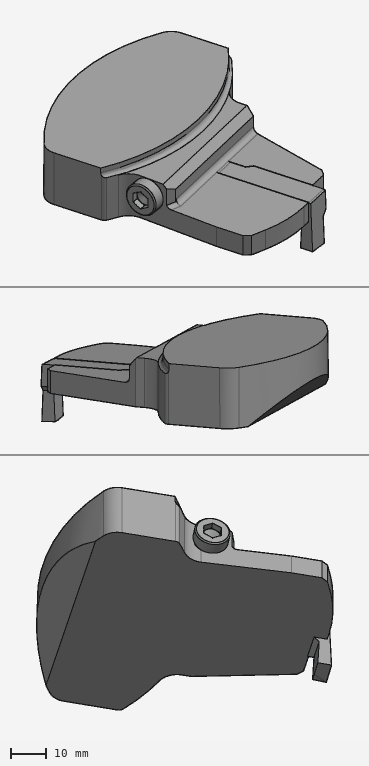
import cadquery as cq
import math

housing_height = 17.3
block_height = 14.1
plate_height = 6.5
hook_depth = 10.4

lens_length = 70.0
lens_half = lens_length / 2
lens_width = 42.3
wall_radius = 58.6
left_draft = 0.4
crown_radius = 61.2
left_corner_radius = 5.7
right_corner_radius = 1.6
crown_step = 1.6
crown_wall_height = 1.6
nose_chamfer = 8.1

nose_setback = left_draft * nose_chamfer / housing_height

root_x = 32.55
block_back_y = 17.1
block_front_y = -28.1
block_end_x = 48.75
block_chamfer = 2.45
block_corner_run = 1.3
block_corner_length = 2.9
foot_radius = 1.6
neck_radius = 6.0
plate_front_y = -30.1
plate_end_x = 80.1
plate_back_end_x = 76.7
slope_end_x = 64.3
shoulder_x = 46.7
back_corner_x = 75.1
back_corner_y = 9.4
back_end_y = 7.65
end_arc_top_y = -8.9
end_arc_bottom = (76.8, -24.4)
front_corner_end = (74.9, -28.8)
front_corner_x = 72.9

strip_front_y = -6.35
strip_back_y = 1.7
strip_step = 1.6
strip_step_x = 55.9
strip_recess = 0.2
strip_ramp = 0.6
strip_start_x = block_end_x + foot_radius
hook_tip_x = 81.4
hook_lean = 0.65
hook_top_x = hook_tip_x - hook_lean
hook_inner_x = 77.8
hook_tip_inner_x = 77.4
hook_flare = 1.5
hook_bottom_rise = 0.7
hook_tip_rise = 0.25
hook_top_bevel = 0.6
hook_top_drop = 0.2

screw_x = 41.35
screw_z = 8.95
screw_diameter = 10.0
screw_head_height = 3.9
screw_edge_chamfer = 0.4
socket_flats = 5.0
socket_depth = 2.0
socket_cone_depth = 1.5

face_slope = (block_front_y - plate_front_y) / (slope_end_x - root_x)
screw_seat_y = block_front_y - face_slope * (screw_x - root_x)
face_angle = math.atan(face_slope)


def left_outline(height, apex_x):
    """Closed outline at a height: the left arc through its apex, with a plain right side."""
    corner_x = wall_radius - math.sqrt(wall_radius**2 - lens_half**2)
    return (
        cq.Workplane("XY").workplane(offset=height)
        .moveTo(corner_x, -lens_half)
        .threePointArc((apex_x, 0), (corner_x, lens_half))
        .lineTo(lens_width, lens_half)
        .lineTo(lens_width, -lens_half)
        .close()
    )


def make_lens():
    """Lens between a drafted left wall and a round right wall, with rounded corners."""
    slab = cq.Workplane("XY").box(2 * lens_width, lens_length, housing_height, centered=(True, True, False))
    left_wires = [
        left_outline(0, -nose_setback).val(),
        left_outline(housing_height, left_draft - nose_setback).val(),
    ]
    left_wall = cq.Workplane(cq.Solid.makeLoft(left_wires, True))
    right_wall = (
        cq.Workplane("XY").center(lens_width - wall_radius, 0).circle(wall_radius).extrude(housing_height)
    )
    lens = slab.intersect(left_wall).intersect(right_wall)
    for side in (-1, 1):
        end_y = side * lens_half
        end_box = cq.selectors.BoxSelector(
            (-lens_width, end_y - 0.8, 0.8), (lens_width, end_y + 0.8, housing_height - 0.8)
        )
        lens = lens.edges(end_box).edges("<X").fillet(left_corner_radius)
        lens = lens.edges(end_box).edges(">X").fillet(right_corner_radius)
    return lens


def make_plate():
    """Flat plate whose right end is an arc in front of the strip and square behind it."""
    return (
        cq.Workplane("XY")
        .moveTo(root_x, block_back_y)
        .lineTo(shoulder_x, block_back_y)
        .lineTo(back_corner_x, back_corner_y)
        .lineTo(plate_back_end_x, back_end_y)
        .lineTo(plate_back_end_x, strip_front_y)
        .lineTo(plate_end_x, strip_front_y)
        .lineTo(plate_end_x, end_arc_top_y)
        .tangentArcPoint(end_arc_bottom, relative=False)
        .lineTo(*front_corner_end)
        .lineTo(front_corner_x, plate_front_y)
        .lineTo(slope_end_x, plate_front_y)
        .lineTo(root_x, block_front_y)
        .close()
        .extrude(plate_height)
    )


def block_plan(offset):
    """Plan of the block with its end moved out by offset; its front right corner is cut off."""
    end_x = block_end_x + offset
    deep_y = plate_front_y
    corner_y = block_front_y - face_slope * (block_end_x - root_x) + block_corner_length
    slant_x = end_x - block_corner_run * (corner_y - deep_y) / block_corner_length
    return [
        (root_x, block_back_y),
        (end_x, block_back_y),
        (end_x, corner_y),
        (slant_x, deep_y),
        (root_x, deep_y),
    ]


def make_block(outline):
    """Raised block with a filleted foot, a chamfered top edge and the plate's side faces."""
    foot_height = plate_height + foot_radius
    block = cq.Workplane("XY").polyline(block_plan(0)).close().extrude(block_height)
    foot = (
        cq.Workplane("XY").workplane(offset=plate_height)
        .polyline(block_plan(foot_radius)).close().extrude(foot_radius)
    )
    far = block_plan(foot_radius)[1:4]
    for start, finish in zip(far, far[1:]):
        run = cq.Vector(finish[0] - start[0], finish[1] - start[1], 0)
        overrun = run.normalized() * foot_radius
        base = cq.Vector(start[0], start[1], foot_height) - overrun
        foot = foot.cut(cq.Workplane(
            cq.Solid.makeCylinder(foot_radius, run.Length + 2 * foot_radius, base, run)
        ))
    bevel = (
        cq.Workplane("XZ")
        .moveTo(block_end_x - block_chamfer, block_height)
        .lineTo(block_end_x, block_height)
        .lineTo(block_end_x, block_height - block_chamfer)
        .close()
        .extrude(lens_half, both=True)
    )
    return block.union(foot).cut(bevel).intersect(outline)


def make_crown_cutter():
    """Everything outside the raised crown: a straight wall with a fillet at its foot."""
    ledge_z = housing_height - crown_wall_height - crown_step
    centre_x = lens_width - crown_step - crown_radius
    ledge_radius = crown_radius + crown_step
    diagonal = crown_step * math.sqrt(0.5)
    outer_radius = ledge_radius + lens_width
    return (
        cq.Workplane("XZ", origin=(centre_x, 0, 0))
        .moveTo(crown_radius, housing_height)
        .lineTo(crown_radius, ledge_z + crown_step)
        .threePointArc(
            (ledge_radius - diagonal, ledge_z + crown_step - diagonal),
            (ledge_radius, ledge_z),
        )
        .lineTo(outer_radius, ledge_z)
        .lineTo(outer_radius, housing_height)
        .close()
        .revolve(360, (0, 0, 0), (0, 1, 0))
    )


def make_hook():
    """End of the strip, bent down below the plate, with a flared root and a slanted tip."""
    side = (
        cq.Workplane("XZ", origin=(0, strip_back_y, 0))
        .moveTo(plate_back_end_x - strip_step, 0)
        .lineTo(plate_back_end_x - strip_step, plate_height - strip_recess)
        .lineTo(hook_top_x - hook_top_bevel, plate_height - strip_recess)
        .lineTo(hook_top_x, plate_height - strip_recess - hook_top_drop)
        .lineTo(hook_tip_x, -hook_depth)
        .lineTo(hook_tip_inner_x, -hook_depth + hook_tip_rise)
        .lineTo(hook_inner_x, -hook_flare)
        .lineTo(hook_inner_x - hook_flare, 0)
        .close()
        .extrude(strip_back_y - strip_front_y)
    )
    hook_back_y = strip_back_y - strip_step
    end_face = (
        cq.Workplane("YZ")
        .moveTo(strip_front_y, plate_height)
        .lineTo(strip_back_y, plate_height)
        .lineTo(strip_back_y, 0)
        .lineTo(hook_back_y, -hook_flare)
        .lineTo(hook_back_y, -hook_depth)
        .lineTo(strip_front_y, -hook_depth + hook_bottom_rise)
        .close()
        .extrude(hook_tip_x)
    )
    return side.intersect(end_face)


def make_strip_recess():
    """Shallow stepped recess that marks the strip, with a ramp at the foot of the block."""
    plan = (
        cq.Workplane("XY")
        .moveTo(strip_start_x, strip_front_y)
        .lineTo(hook_tip_x, strip_front_y)
        .lineTo(hook_tip_x, strip_back_y)
        .lineTo(strip_step_x + strip_step, strip_back_y)
        .lineTo(strip_step_x, strip_back_y - strip_step)
        .lineTo(strip_start_x, strip_back_y - strip_step)
        .close()
        .extrude(plate_height)
    )
    depth_profile = (
        cq.Workplane("XZ")
        .moveTo(strip_start_x, plate_height)
        .lineTo(strip_start_x + strip_ramp, plate_height - strip_recess)
        .lineTo(hook_tip_x, plate_height - strip_recess)
        .lineTo(hook_tip_x, plate_height)
        .close()
        .extrude(lens_half, both=True)
    )
    return plan.intersect(depth_profile)


def screw_plane():
    """Plane on the screw seat, with its normal along the screw toward the socket."""
    return cq.Plane(
        origin=(screw_x, screw_seat_y, screw_z),
        xDir=(0, 0, 1),
        normal=(-math.sin(face_angle), -math.cos(face_angle), 0),
    )


def make_screw():
    """Cylindrical screw head with a hexagon socket that ends in a cone."""
    head = (
        cq.Workplane(screw_plane())
        .circle(screw_diameter / 2)
        .extrude(screw_head_height)
        .faces(cq.selectors.DirectionMinMaxSelector(screw_plane().zDir, True))
        .edges()
        .chamfer(screw_edge_chamfer)
    )
    socket_corners = socket_flats / math.cos(math.pi / 6)
    floor = cq.Workplane(screw_plane()).workplane(offset=screw_head_height - socket_depth)
    socket = floor.polygon(6, socket_corners).extrude(socket_depth)
    cone = cq.Workplane(cq.Solid.makeCone(
        socket_flats / 2, 0, socket_cone_depth, floor.plane.origin, -floor.plane.zDir
    ))
    return head.cut(socket).cut(cone)


def make_housing():
    """Lens, block, plate and hook as one solid, with a seat for the screw."""
    plate = make_plate()
    outline = plate.faces("<Z").wires().toPending().extrude(block_height, combine=False)
    body = make_lens().union(plate).union(make_block(outline))
    for side_y in (block_front_y, block_back_y):
        neck_box = cq.selectors.BoxSelector(
            (root_x + 0.8, side_y - 0.8, 0), (lens_width, side_y + 0.8, housing_height)
        )
        body = body.edges("|Z").edges(neck_box).fillet(neck_radius)
    body = body.cut(make_crown_cutter())
    nose = (
        cq.Workplane("XZ")
        .polyline([(-nose_chamfer, 0), (nose_chamfer, 0), (-nose_chamfer, 2 * nose_chamfer)])
        .close()
        .extrude(lens_half, both=True)
    )
    seat = cq.Workplane(screw_plane()).circle(screw_diameter / 2).extrude(screw_head_height)
    return body.cut(nose).union(make_hook()).cut(make_strip_recess()).cut(seat)


housing = make_housing()
screw = make_screw()
result = cq.Compound.makeCompound([housing.val(), screw.val()])